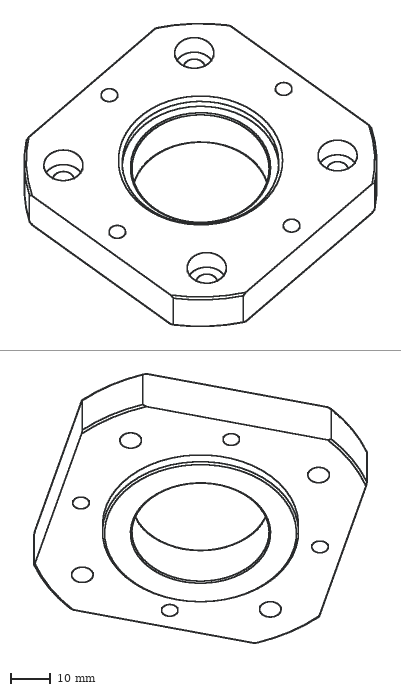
import cadquery as cq

plate_side = 75.0
plate_thickness = 12.0
disc_diameter = 90.0
disc_chamfer = 0.5

spigot_diameter = 50.0
spigot_height = 3.0
spigot_chamfer = 0.5

bore_diameter = 35.0
bore_chamfer = 0.4
seat_diameter = 40.0
seat_depth = 3.0
seat_chamfer = 1.0

bolt_circle_radius = 35.0
bolt_diameter = 5.5
counterbore_diameter = 10.0
counterbore_depth = 6.0

pin_circle_radius = 31.5
pin_diameter = 4.2

hole_count = 4
diagonal_angle = 45.0


def cylinder(diameter, bottom, top):
    """Upright cylinder on the central axis."""
    return cq.Workplane("XY").workplane(offset=bottom).circle(diameter / 2).extrude(top - bottom)


def top_chamfer_cone(diameter, top, chamfer):
    """Cutter that bevels the mouth of a central hole by 45 degrees."""
    radius = diameter / 2
    profile = [(0, top - chamfer), (radius, top - chamfer), (radius + chamfer, top), (0, top)]
    return cq.Workplane("XZ").polyline(profile).close().revolve(360, (0, 0, 0), (0, 1, 0))


def hole_pattern(workplane, radius, start_angle):
    """Place the hole centres evenly around the central axis."""
    return workplane.polarArray(radius, start_angle, 360, hole_count)


disc = cylinder(disc_diameter, 0, plate_thickness).edges().chamfer(disc_chamfer)
plate = cq.Workplane("XY").rect(plate_side, plate_side).extrude(plate_thickness).intersect(disc)

spigot = cylinder(spigot_diameter, -spigot_height, 0).faces("<Z").edges().chamfer(spigot_chamfer)
body = plate.union(spigot)

seat_floor = plate_thickness - seat_depth
body = body.cut(cylinder(bore_diameter, -spigot_height, plate_thickness))
body = body.cut(top_chamfer_cone(bore_diameter, seat_floor, bore_chamfer))
body = body.cut(cylinder(seat_diameter, seat_floor, plate_thickness))
body = body.cut(top_chamfer_cone(seat_diameter, plate_thickness, seat_chamfer))

smallest_circle = cq.selectors.RadiusNthSelector(0)
body = body.faces("<Z").edges(smallest_circle).chamfer(bore_chamfer)

top_plane = cq.Workplane("XY").workplane(offset=plate_thickness)
bolt_centres = hole_pattern(top_plane, bolt_circle_radius, diagonal_angle)
body = body.cut(bolt_centres.circle(bolt_diameter / 2).extrude(-plate_thickness))
counterbore_centres = hole_pattern(top_plane, bolt_circle_radius, diagonal_angle)
body = body.cut(counterbore_centres.circle(counterbore_diameter / 2).extrude(-counterbore_depth))
pin_centres = hole_pattern(top_plane, pin_circle_radius, 0)
body = body.cut(pin_centres.circle(pin_diameter / 2).extrude(-plate_thickness))

result = body